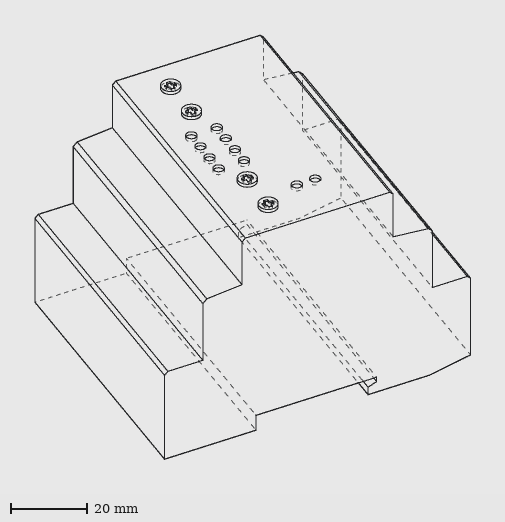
import cadquery as cq
import math

WIDTH = 74.5
BOTTOM_HALF_DEPTH = 45.0
MIDDLE_HALF_DEPTH = 33.75
TOP_HALF_DEPTH = 22.2
BOTTOM_STEP_HEIGHT = 29.0
MIDDLE_STEP_HEIGHT = 50.0
HOUSING_HEIGHT = 65.25
MIDDLE_STEP_SLOPE = 5.5
EDGE_CHAMFER = 1.0
MIDDLE_EDGE_CHAMFER = 1.2

CHANNEL_HEIGHT = 4.95
CHANNEL_FRONT_Y = -18.1
CHANNEL_BACK_Y = 17.4
LIP_Y = 14.85
LIP_TIP_HEIGHT = 2.5
LIP_ROOT_HEIGHT = 3.5

RELIEF_DEPTH = 12.15
RELIEF_HEIGHT = 2.4

SCREW_DIAMETER = 5.3
SCREW_HEIGHT = 1.0
SCREW_Y = -9.8
OUTER_SCREW_X = 28.0
INNER_SCREW_X = 16.0
RECESS_LENGTH = 3.0
RECESS_WIDTH = 1.1
RECESS_DEPTH = 0.5

HOLE_DIAMETER = 3.0
HOLE_DEPTH = 1.0
HOLE_PITCH = 5.2
HOLES_PER_ROW = 4
HOLE_ROWS_Y = (-6.6, -14.0)
SIDE_HOLES_X = 23.2
SIDE_HOLES_Y = (6.5, 1.1)


def upper_outline(side):
    """Points of one stepped flank, from the bottom step up to the top face; side is +1 or -1 in Y."""
    slope_run = MIDDLE_HALF_DEPTH - MIDDLE_EDGE_CHAMFER - TOP_HALF_DEPTH
    slope_end_height = MIDDLE_STEP_HEIGHT - slope_run * math.tan(math.radians(MIDDLE_STEP_SLOPE))
    flank = [
        (BOTTOM_HALF_DEPTH, BOTTOM_STEP_HEIGHT - EDGE_CHAMFER),
        (BOTTOM_HALF_DEPTH - EDGE_CHAMFER, BOTTOM_STEP_HEIGHT),
        (MIDDLE_HALF_DEPTH, BOTTOM_STEP_HEIGHT),
        (MIDDLE_HALF_DEPTH, slope_end_height - MIDDLE_EDGE_CHAMFER),
        (MIDDLE_HALF_DEPTH - MIDDLE_EDGE_CHAMFER, slope_end_height),
        (TOP_HALF_DEPTH, MIDDLE_STEP_HEIGHT),
        (TOP_HALF_DEPTH, HOUSING_HEIGHT - EDGE_CHAMFER),
        (TOP_HALF_DEPTH - EDGE_CHAMFER, HOUSING_HEIGHT),
    ]
    return [(side * y, z) for y, z in flank]


def make_housing():
    underside = [
        (BOTTOM_HALF_DEPTH, RELIEF_HEIGHT),
        (BOTTOM_HALF_DEPTH - RELIEF_DEPTH, 0),
        (LIP_Y, 0),
        (LIP_Y, LIP_TIP_HEIGHT),
        (CHANNEL_BACK_Y, LIP_ROOT_HEIGHT),
        (CHANNEL_BACK_Y, CHANNEL_HEIGHT),
        (CHANNEL_FRONT_Y, CHANNEL_HEIGHT),
        (CHANNEL_FRONT_Y, 0),
        (-BOTTOM_HALF_DEPTH, 0),
    ]
    front_flank = upper_outline(-1)
    back_flank = upper_outline(1)
    outline = underside + front_flank + back_flank[::-1]
    return cq.Workplane("YZ").polyline(outline).close().extrude(WIDTH / 2, both=True)


def make_screws():
    centres = [(x, SCREW_Y) for x in (-OUTER_SCREW_X, -INNER_SCREW_X, INNER_SCREW_X, OUTER_SCREW_X)]
    heads = (
        cq.Workplane("XY", origin=(0, 0, HOUSING_HEIGHT))
        .pushPoints(centres)
        .circle(SCREW_DIAMETER / 2)
        .extrude(SCREW_HEIGHT)
    )
    recess_plane = cq.Workplane("XY", origin=(0, 0, HOUSING_HEIGHT + SCREW_HEIGHT)).pushPoints(centres)
    slots_along_x = recess_plane.rect(RECESS_LENGTH, RECESS_WIDTH).extrude(-RECESS_DEPTH)
    slots_along_y = recess_plane.rect(RECESS_WIDTH, RECESS_LENGTH).extrude(-RECESS_DEPTH)
    return heads.cut(slots_along_x).cut(slots_along_y)


def make_holes():
    first_x = -HOLE_PITCH * (HOLES_PER_ROW - 1) / 2
    centres = [(first_x + i * HOLE_PITCH, y) for y in HOLE_ROWS_Y for i in range(HOLES_PER_ROW)]
    centres += [(SIDE_HOLES_X, y) for y in SIDE_HOLES_Y]
    return (
        cq.Workplane("XY", origin=(0, 0, HOUSING_HEIGHT))
        .pushPoints(centres)
        .circle(HOLE_DIAMETER / 2)
        .extrude(-HOLE_DEPTH)
    )


result = make_housing().cut(make_holes()).union(make_screws())